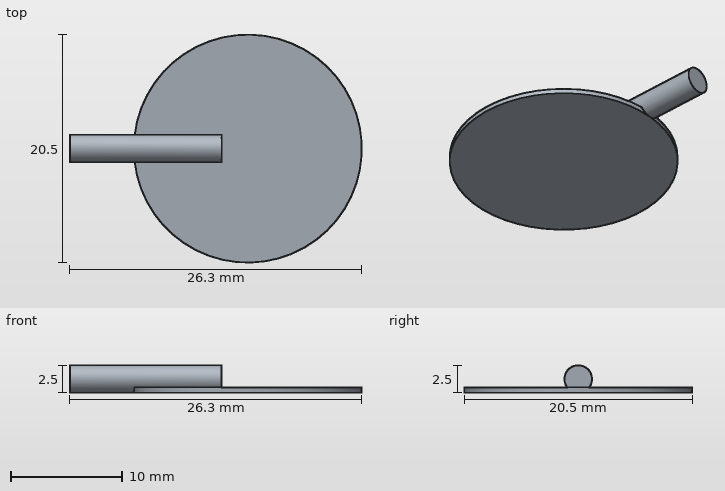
import cadquery as cq

overall_length = 26.25
disc_diameter = 20.5
disc_thickness = 0.5
rod_diameter = 2.5
rod_length = 13.65

rod_start_x = disc_diameter / 2 - overall_length


def make_disc():
    """Thin round plate on Z = 0, its rim seam at -X where the rod touches the lower edge."""
    sketch_plane = cq.Plane(origin=(0, 0, 0), xDir=(-1, 0, 0), normal=(0, 0, 1))
    return cq.Workplane(sketch_plane).circle(disc_diameter / 2).extrude(disc_thickness)


def make_rod():
    """Round rod along X whose lowest line is level with the underside of the disc."""
    rod_radius = rod_diameter / 2
    return cq.Workplane("YZ", origin=(rod_start_x, 0, rod_radius)).circle(rod_radius).extrude(rod_length)


def make_disc_with_rod():
    """Disc and rod as one solid, the rod running in over the rim and sunk through the disc."""
    return make_disc().union(make_rod())


disc_with_rod = make_disc_with_rod()

result = cq.Compound.makeCompound([*disc_with_rod.solids().vals()])